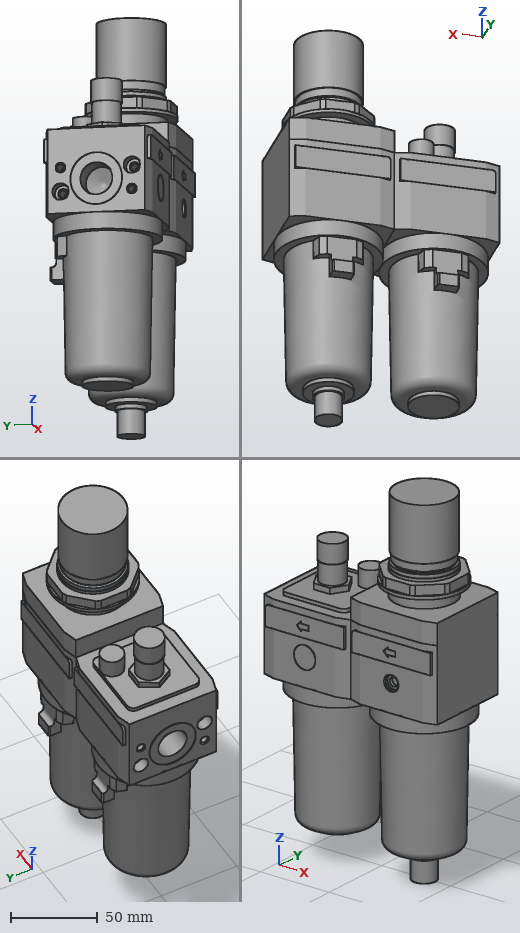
import cadquery as cq
import math


unit_width = 63.0
half_width = unit_width / 2
lubricator_x = -half_width
regulator_x = half_width
bowl_joint_z = 113.8
block_top_z = 163.5
port_z = 133.7

label_relief = 0.12
corner_setback = 2.7
block_half_depth = half_width - label_relief
block_flat_half = 22.5
bonnet_flat_half = 22.3
bonnet_top_z = 177.5

label_length = 57.0
label_bottom_z = 144.8
label_top_z = 159.0
label_thickness = 3.0
label_round = 2.2
mark_depth = 0.2

arrow_tip_x = -5.5
arrow_length = 8.5
arrow_head_length = 3.1
arrow_head_half = 3.1
arrow_shaft_half = 1.7
arrow_z = 151.5

cover_side = 47.2
cover_round = 4.4
cover_top_z = 166.0
dome_x = -35.0
dome_hex_flats = 20.5
dome_hex_sides = 6
dome_hex_top_z = 169.8
dome_neck_radius = 8.5
dome_cap_bottom_z = 183.0
dome_cap_radius = 9.0
dome_top_z = 196.2
filler_x = -19.5
filler_y = 16.0
filler_radius = 7.3

outlet_radius = 9.5
outlet_depth = 15.7
outlet_face_radius = 15.3
outlet_face_depth = 0.5
drill_point_half_angle = 59.0
bolt_y = 21.0
bolt_rise = 7.0
bolt_mouth_radius = 3.0
bolt_hole_radius = 2.2
bolt_mouth_depth = 0.7
bolt_hole_depth = 12.0
bolt_recess_radius = 4.8
bolt_recess_depth = 7.3
blank_port_radius = 7.8
gauge_z = 132.7
gauge_mouth_radius = 5.3
gauge_radius = 4.5
gauge_depth = 2.5
gauge_socket_radius = 3.0
gauge_socket_depth = 4.8

neck_radius = 20.8
neck_top_z = 196.5
nut_bottom_z = 185.8
nut_flange_top_z = 188.0
nut_top_z = 194.5
nut_flange_radius = 27.0
nut_corner_radius = 26.6
nut_flats = 50.4
nut_sides = 8
ring_radius = 20.3
ring_top_z = 198.8
groove_radius = 18.5
groove_top_z = 200.3
knob_base_radius = 19.4
knob_bottom_z = 205.5
knob_radius = 20.0
knob_top_z = 242.2

collar_bottom_z = 104.0
bowl_top_radius = 26.0
bowl_bottom_radius = 24.5
bowl_bottom_z = 20.0
bowl_round = 5.5
boss_radius = 14.8
boss_bottom_z = 17.5
drain_shoulder_radius = 9.2
drain_shoulder_z = 14.8
drain_radius = 8.0

lug_root_half = 15.0
lug_shoulder_half = 13.0
lug_back_half = 8.7
lug_bottom_z = 92.3
lug_back_y = 29.0
lug_shoulder_y = 27.1
lock_width = 13.0
lock_bottom_z = 80.0
lock_button_top_z = 87.5
lock_back_y = 32.7
lock_chamfer = 1.0
lock_root_y = 21.0


def cylinder(x, y, radius, bottom, top):
    return cq.Workplane("XY", origin=(x, y, bottom)).circle(radius).extrude(top - bottom)


def prism(x, flats, sides, bottom, top, turn=0):
    """Regular prism sized across its flats."""
    corner_diameter = flats / math.cos(math.pi / sides)
    shape = cq.Workplane("XY").polygon(sides, corner_diameter).extrude(top - bottom)
    return shape.rotate((0, 0, 0), (0, 0, 1), turn).translate((x, 0, bottom))


def block(x, half_depth, flat_half, bottom, top):
    """Square block whose front and back corners are cut at a shallow angle."""
    side_half = half_depth - corner_setback
    outline = [
        (half_width, -side_half),
        (half_width, side_half),
        (flat_half, half_depth),
        (-flat_half, half_depth),
        (-half_width, side_half),
        (-half_width, -side_half),
        (-flat_half, -half_depth),
        (flat_half, -half_depth),
    ]
    return cq.Workplane("XY", origin=(x, 0, bottom)).polyline(outline).close().extrude(top - bottom)


def front_hole(x, z, radius, depth):
    return cq.Workplane("XZ", origin=(x, -block_half_depth, z)).circle(radius).extrude(-depth)


def labels(x):
    """Front and back plates, just proud of the block faces, with one rounded upper corner each."""
    height = label_top_z - label_bottom_z
    middle_z = (label_top_z + label_bottom_z) / 2
    middle_y = half_width - label_thickness / 2
    plate = cq.Workplane("XY").box(label_length, label_thickness, height)
    plate = plate.edges("|Y and <X and >Z").fillet(label_round)
    front = plate.translate((x, -middle_y, middle_z))
    back = plate.translate((x, middle_y, middle_z))
    return front.union(back)


def flow_arrow(x):
    """Shallow arrow-shaped cutter for the front label."""
    outline = [
        (0, 0),
        (arrow_head_length, arrow_head_half),
        (arrow_head_length, arrow_shaft_half),
        (arrow_length, arrow_shaft_half),
        (arrow_length, -arrow_shaft_half),
        (arrow_head_length, -arrow_shaft_half),
        (arrow_head_length, -arrow_head_half),
    ]
    plane = cq.Workplane("XZ", origin=(x + arrow_tip_x, -half_width, arrow_z))
    return plane.polyline(outline).close().extrude(-mark_depth)


def labelled_block(x):
    body = block(x, block_half_depth, block_flat_half, bowl_joint_z, block_top_z)
    return body.union(labels(x)).cut(flow_arrow(x))


def side_hole(profile, start_depth, y, z):
    """Round cutter into the -X face from (depth, radius) points, closed along its axis."""
    outline = [(start_depth, 0)] + profile
    cutter = cq.Workplane("XY").polyline(outline).close().revolve(360, (0, 0), (1, 0))
    return cutter.translate((-unit_width, y, z))


def drill_point_depth(radius):
    return radius / math.tan(math.radians(drill_point_half_angle))


def outlet_port():
    tip = outlet_depth + drill_point_depth(outlet_radius)
    profile = [
        (0, outlet_face_radius),
        (outlet_face_depth, outlet_face_radius),
        (outlet_face_depth, outlet_radius),
        (outlet_depth, outlet_radius),
        (tip, 0),
    ]
    return side_hole(profile, 0, 0, port_z)


def bolt_hole(y, z, start_depth):
    """Countersunk blind hole that starts at the given depth, measured from the face."""
    mouth_end = start_depth + bolt_mouth_depth
    hole_end = start_depth + bolt_hole_depth
    profile = [
        (start_depth, bolt_mouth_radius),
        (mouth_end, bolt_hole_radius),
        (hole_end, bolt_hole_radius),
        (hole_end + drill_point_depth(bolt_hole_radius), 0),
    ]
    return side_hole(profile, start_depth, y, z)


def bolt_recess(y, z):
    profile = [(0, bolt_recess_radius), (bolt_recess_depth, bolt_recess_radius), (bolt_recess_depth, 0)]
    return side_hole(profile, 0, y, z)


def make_lubricator_housing():
    body = labelled_block(lubricator_x)

    cover = cq.Workplane("XY").rect(cover_side, cover_side).extrude(cover_top_z - block_top_z)
    cover = cover.edges("|Z").fillet(cover_round)
    body = body.union(cover.translate((lubricator_x, 0, block_top_z)))

    body = body.union(prism(dome_x, dome_hex_flats, dome_hex_sides, cover_top_z, dome_hex_top_z))
    body = body.union(cylinder(dome_x, 0, dome_neck_radius, dome_hex_top_z, dome_cap_bottom_z))
    body = body.union(cylinder(dome_x, 0, dome_cap_radius, dome_cap_bottom_z, dome_top_z))
    body = body.union(cylinder(filler_x, filler_y, filler_radius, cover_top_z, bonnet_top_z))

    body = body.cut(outlet_port())
    for side in (-1, 1):
        recessed_z = port_z - side * bolt_rise
        plain_z = port_z + side * bolt_rise
        body = body.cut(bolt_recess(side * bolt_y, recessed_z))
        body = body.cut(bolt_hole(side * bolt_y, recessed_z, bolt_recess_depth))
        body = body.cut(bolt_hole(side * bolt_y, plain_z, 0))

    return body.cut(front_hole(lubricator_x, gauge_z, blank_port_radius, mark_depth))


def panel_nut():
    """Octagonal nut with rounded corners on a round flange."""
    half_side_turn = 180 / nut_sides
    octagon = prism(regulator_x, nut_flats, nut_sides, nut_flange_top_z, nut_top_z, half_side_turn)
    rounding = cylinder(regulator_x, 0, nut_corner_radius, nut_flange_top_z, nut_top_z)
    flange = cylinder(regulator_x, 0, nut_flange_radius, nut_bottom_z, nut_flange_top_z)
    return octagon.intersect(rounding).union(flange)


def gauge_port():
    taper = gauge_mouth_radius - gauge_radius
    face = cq.Workplane("XZ", origin=(regulator_x, -block_half_depth, gauge_z))
    mouth = face.circle(gauge_mouth_radius).extrude(-taper, taper=45)
    bore = front_hole(regulator_x, gauge_z, gauge_radius, gauge_depth)
    socket = front_hole(regulator_x, gauge_z, gauge_socket_radius, gauge_socket_depth)
    return mouth.union(bore).union(socket)


def make_regulator_housing():
    body = labelled_block(regulator_x)
    body = body.union(block(regulator_x, half_width, bonnet_flat_half, block_top_z, bonnet_top_z))

    stack = [
        (neck_radius, bonnet_top_z, neck_top_z),
        (ring_radius, neck_top_z, ring_top_z),
        (groove_radius, ring_top_z, groove_top_z),
        (knob_base_radius, groove_top_z, knob_bottom_z),
        (knob_radius, knob_bottom_z, knob_top_z),
    ]
    for radius, bottom, top in stack:
        body = body.union(cylinder(regulator_x, 0, radius, bottom, top))

    return body.union(panel_nut()).cut(gauge_port())


def bowl_lock(x):
    """Tapered lug under the collar with the lock button hanging below it."""
    lug_outline = [
        (lug_root_half, lock_root_y),
        (lug_shoulder_half, lug_shoulder_y),
        (lug_back_half, lug_back_y),
        (-lug_back_half, lug_back_y),
        (-lug_shoulder_half, lug_shoulder_y),
        (-lug_root_half, lock_root_y),
    ]
    lug_plane = cq.Workplane("XY", origin=(x, 0, lug_bottom_z))
    lug = lug_plane.polyline(lug_outline).close().extrude(collar_bottom_z - lug_bottom_z)

    step_radius = lock_back_y - lug_back_y - lock_chamfer
    button_outline = (
        cq.Workplane("YZ", origin=(x - lock_width / 2, 0, 0))
        .moveTo(lock_root_y, lock_bottom_z)
        .lineTo(lock_back_y, lock_bottom_z)
        .lineTo(lock_back_y, lock_button_top_z)
        .lineTo(lug_back_y + step_radius, lock_button_top_z)
        .radiusArc((lug_back_y, lock_button_top_z + step_radius), step_radius)
        .lineTo(lug_back_y, lug_bottom_z)
        .lineTo(lock_root_y, lug_bottom_z)
        .close()
    )
    button = button_outline.extrude(lock_width).edges("|Z and >Y").chamfer(lock_chamfer)
    return lug.union(button)


def make_bowl(x):
    """Tapered bowl with a rounded bottom, a collar on top and a boss below."""
    outline = [
        (0, bowl_bottom_z),
        (bowl_bottom_radius, bowl_bottom_z),
        (bowl_top_radius, collar_bottom_z),
        (0, collar_bottom_z),
    ]
    shell = cq.Workplane("XZ").polyline(outline).close().revolve(360, (0, 0), (0, 1))
    shell = shell.faces("<Z").edges().fillet(bowl_round).translate((x, 0, 0))

    body = shell.union(bowl_lock(x))
    body = body.union(cylinder(x, 0, half_width, collar_bottom_z, bowl_joint_z))
    return body.union(cylinder(x, 0, boss_radius, boss_bottom_z, bowl_bottom_z))


def add_drain(bowl, x):
    shoulder = cylinder(x, 0, drain_shoulder_radius, drain_shoulder_z, boss_bottom_z)
    outlet = cylinder(x, 0, drain_radius, 0, drain_shoulder_z)
    return bowl.union(shoulder).union(outlet)


lubricator_housing = make_lubricator_housing()
regulator_housing = make_regulator_housing()
lubricator_bowl = make_bowl(lubricator_x)
regulator_bowl = add_drain(make_bowl(regulator_x), regulator_x)

result = cq.Compound.makeCompound(
    [
        lubricator_housing.val(),
        regulator_housing.val(),
        lubricator_bowl.val(),
        regulator_bowl.val(),
    ]
)